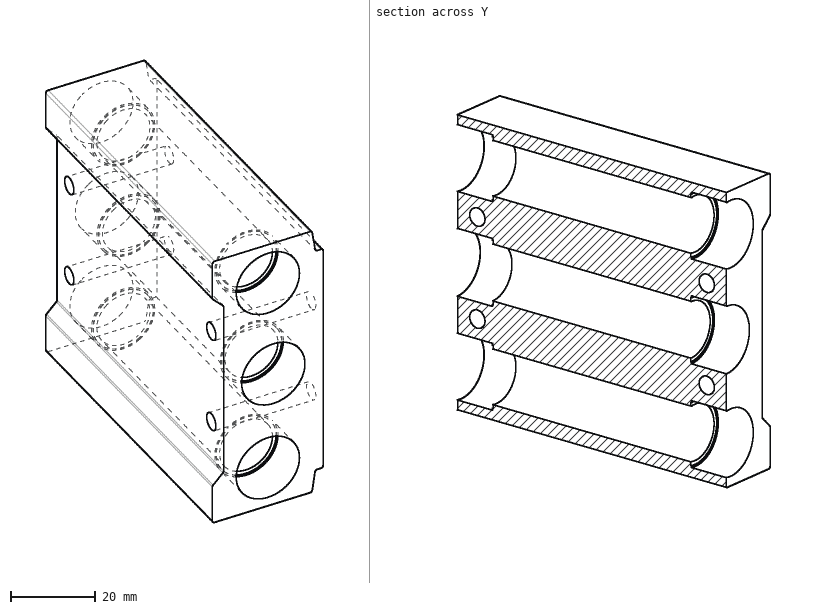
import cadquery as cq

LENGTH = 82.0
DEPTH = 30.0
HEIGHT = 75.0
EDGE_RADIUS = 0.65

SHOULDER_HEIGHT = 6.1
SHOULDER_DEPTH = 2.1
SHOULDER_TOP_DEPTH = 3.0

CHANNEL_DEPTH = 3.0
FRONT_LAND_HEIGHT = 10.7
CHANNEL_SLOPE_HEIGHT = 3.0

BORE_DIAMETER = 14.35
COUNTERBORE_DIAMETER = 17.1
COUNTERBORE_DEPTH = 10.7
SEAT_LEDGE_WIDTH = 0.4
SEAT_RECESS_DEPTH = 0.2
BORE_SPACING = 26.5
MIDDLE_BORE_OFFSET = 1.5

MOUNT_DIAMETER = 4.5
MOUNT_SPACING_X = 69.9
MOUNT_SPACING_Z = 25.9


def make_body():
    """Extrude the mirrored YZ profile and round its long edges."""
    rear = DEPTH / 2
    front = -DEPTH / 2
    top = HEIGHT / 2
    land_end = top - FRONT_LAND_HEIGHT
    upper_outline = [
        (front + CHANNEL_DEPTH, land_end - CHANNEL_SLOPE_HEIGHT),
        (front, land_end),
        (front, top),
        (rear - SHOULDER_TOP_DEPTH, top),
        (rear - SHOULDER_DEPTH, top - SHOULDER_HEIGHT),
        (rear, top - SHOULDER_HEIGHT),
    ]
    lower_outline = [(y, -z) for y, z in reversed(upper_outline)]
    body = (
        cq.Workplane("YZ", origin=(-LENGTH / 2, 0, 0))
        .polyline(upper_outline + lower_outline)
        .close()
        .extrude(LENGTH)
    )
    return body.edges("|X").fillet(EDGE_RADIUS)


def make_bore(y, z):
    """Make a through bore with a counterbore and shallow seat recess at each end."""
    bore_radius = BORE_DIAMETER / 2
    wide_radius = COUNTERBORE_DIAMETER / 2
    end = LENGTH / 2
    seat = end - COUNTERBORE_DEPTH
    recess_radius = wide_radius - SEAT_LEDGE_WIDTH
    recess_floor = seat - SEAT_RECESS_DEPTH
    half_section = [
        (-end, 0),
        (-end, wide_radius),
        (-seat, wide_radius),
        (-seat, recess_radius),
        (-recess_floor, recess_radius),
        (-recess_floor, bore_radius),
        (recess_floor, bore_radius),
        (recess_floor, recess_radius),
        (seat, recess_radius),
        (seat, wide_radius),
        (end, wide_radius),
        (end, 0),
    ]
    bore = cq.Workplane("XY").polyline(half_section).close().revolve(360, (0, 0, 0), (1, 0, 0))
    return bore.translate((0, y, z))


def make_mounting_holes():
    """Make the rectangular pattern of through holes along Y."""
    return (
        cq.Workplane("XZ")
        .rarray(MOUNT_SPACING_X, MOUNT_SPACING_Z, 2, 2)
        .circle(MOUNT_DIAMETER / 2)
        .extrude(DEPTH / 2, both=True)
    )


result = make_body()
for bore_y, bore_z in [(0, -BORE_SPACING), (MIDDLE_BORE_OFFSET, 0), (0, BORE_SPACING)]:
    result = result.cut(make_bore(bore_y, bore_z))
result = result.cut(make_mounting_holes())